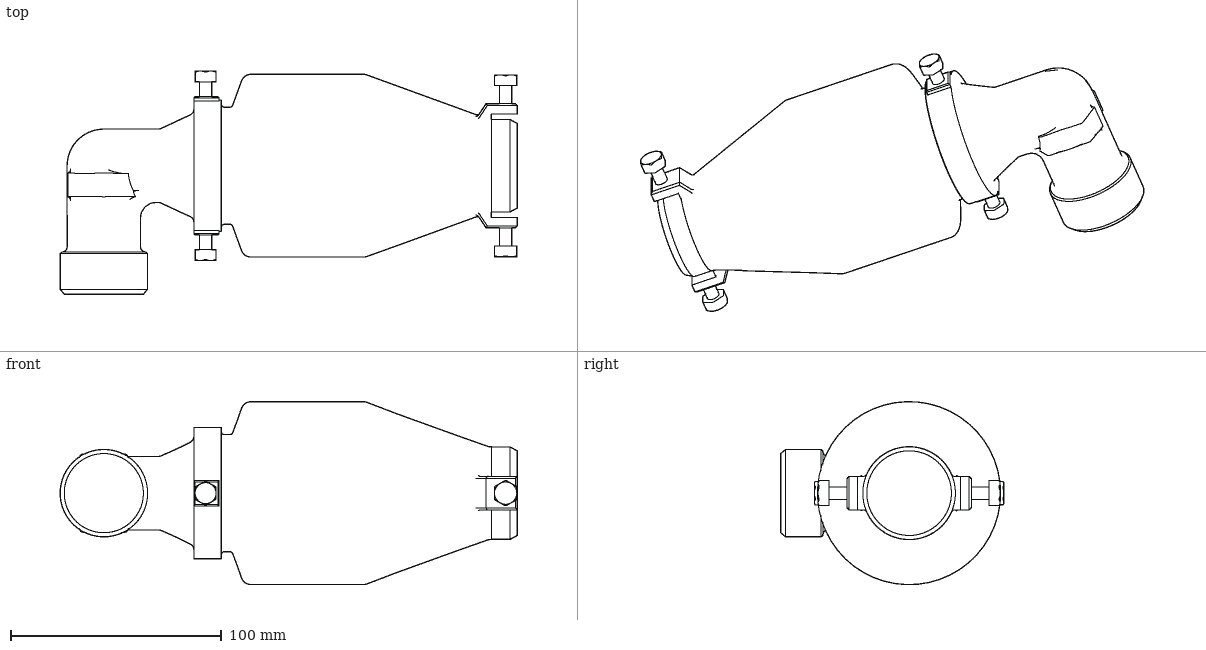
import cadquery as cq
import math


TUBE_R = 17.5
CAP_R = 20.8
INLET_END_Y = -61.0
CAP_LENGTH = 20.1
CAP_END_CHAMFER_R = 2.0
CAP_END_CHAMFER_L = 2.4
CAP_BACK_CHAMFER = 0.8
CAP_BACK_FILLET = 2.4
CROTCH_RADIUS = 7.0
CROTCH_HALF_HEIGHT = 13.0

PAD_FLATS = 37.2
PAD_NEAR_Y = -3.6
PAD_FAR_Y = -14.5
PAD_LOW_Z = 7.6
PAD_EDGE_ROUND = 1.6
PAD_FOOT_RADIUS = 2.0

REDUCER_START_X = 26.6
REDUCER_END_R = 25.0
RING_START_X = 42.7
RING_END_X = 55.9
RING_R = 31.25
RING_CHAMFER = 0.3
NECK_R = 27.9
SHOULDER_X = 60.8
BODY_R = 43.49
BODY_TAPER_X = 124.0
TAPER_ANGLE = math.radians(20)
BODY_ROUND = 5.0
REDUCER_START_ROUND = 3.4
REDUCER_END_ROUND = 3.0
NECK_ROUND = 1.2
NOZZLE_X = 184.0
NOZZLE_LIP_R = 22.1
NOZZLE_LIP_ROUND = 4.5
NOZZLE_R = 22.0
NOZZLE_CHAMFER_X = 192.8
NOZZLE_TIP_R = 20.1
END_X = 196.3

SHANK_D = 6.0
HEAD_HEIGHT = 5.2
HEAD_EDGE_ROUND = 1.2
HEAD_CHAMFER_HEIGHT = 0.5
RING_BOLT_X = 48.3
RING_BOLT_TOP = 45.0
RING_BOLT_FLATS = 10.0
NOZZLE_BOLT_X = 190.7
NOZZLE_BOLT_TOP = 43.2
NOZZLE_BOLT_FLATS = 10.6

LUG_TOP = 32.8
LUG_LENGTH = 12.0
LUG_CHAMFER = 0.6

BRACKET_TOP = 29.5
BRACKET_THICKNESS = 5.0
BRACKET_WIDTH = 16.0
BRACKET_BEND_X = 181.4
BRACKET_FOOT_X = 175.1
BRACKET_FOOT_R = 20.0
BRACKET_CHAMFER = 1.0
BRACKET_FOOT_FILLET = 1.3

HEX_SIDES = 6
HEX_HALF_SECTOR = math.pi / HEX_SIDES
HEX_FLATS_RATIO = math.cos(HEX_HALF_SECTOR)
JOINT_OVERLAP = 2.0
SELECTION_MARGIN = 0.1


def rounded_outline(corners):
    """Closed XY outline from (x, y, corner radius) points, with tangent arcs at the rounded corners."""
    count = len(corners)
    outline = None
    for i, (x, y, radius) in enumerate(corners):
        corner = cq.Vector(x, y)
        back = (cq.Vector(*corners[i - 1][:2]) - corner).normalized()
        ahead = (cq.Vector(*corners[(i + 1) % count][:2]) - corner).normalized()
        half_angle = back.getAngle(ahead) / 2
        setback = radius / math.tan(half_angle)
        arc_start = corner + back * setback
        if outline is None:
            outline = cq.Workplane("XY").moveTo(arc_start.x, arc_start.y)
        else:
            outline = outline.lineTo(arc_start.x, arc_start.y)
        if radius > 0:
            arc_end = corner + ahead * setback
            depth = radius / math.sin(half_angle) - radius
            middle = corner + (back + ahead).normalized() * depth
            outline = outline.threePointArc(middle.toTuple()[:2], arc_end.toTuple()[:2])
    return outline.close()


def make_housing():
    shoulder_edge_x = SHOULDER_X + (BODY_R - NECK_R) * math.tan(TAPER_ANGLE)
    taper_end_x = BODY_TAPER_X + (BODY_R - NOZZLE_LIP_R) / math.tan(TAPER_ANGLE)
    corners = [
        (0, 0, 0),
        (0, TUBE_R, 0),
        (REDUCER_START_X, TUBE_R, REDUCER_START_ROUND),
        (RING_START_X, REDUCER_END_R, REDUCER_END_ROUND),
        (RING_START_X, RING_R, 0),
        (RING_END_X - RING_CHAMFER, RING_R, 0),
        (RING_END_X, RING_R - RING_CHAMFER, 0),
        (RING_END_X, NECK_R, NECK_ROUND),
        (SHOULDER_X, NECK_R, NECK_ROUND),
        (shoulder_edge_x, BODY_R, BODY_ROUND),
        (BODY_TAPER_X, BODY_R, BODY_ROUND),
        (taper_end_x, NOZZLE_LIP_R, NOZZLE_LIP_ROUND),
        (NOZZLE_X, NOZZLE_LIP_R, 0),
        (NOZZLE_X, NOZZLE_R, 0),
        (NOZZLE_CHAMFER_X, NOZZLE_R, 0),
        (END_X, NOZZLE_TIP_R, 0),
        (END_X, 0, 0),
    ]
    return rounded_outline(corners).revolve(360, (0, 0, 0), (1, 0, 0))


def make_inlet():
    cap_back_y = INLET_END_Y + CAP_LENGTH
    corners = [
        (0, 0, 0),
        (TUBE_R, 0, 0),
        (TUBE_R, cap_back_y, CAP_BACK_FILLET),
        (CAP_R - CAP_BACK_CHAMFER, cap_back_y, 0),
        (CAP_R, cap_back_y - CAP_BACK_CHAMFER, 0),
        (CAP_R, INLET_END_Y + CAP_END_CHAMFER_L, 0),
        (CAP_R - CAP_END_CHAMFER_R, INLET_END_Y, 0),
        (0, INLET_END_Y, 0),
    ]
    return rounded_outline(corners).revolve(360, (0, 0, 0), (0, 1, 0))


def make_crotch():
    """Middle slab of the two crossing tubes with the inner corner between them filleted."""
    reach = REDUCER_START_X
    along_x = cq.Workplane("YZ").circle(TUBE_R).extrude(reach)
    along_y = cq.Workplane("XZ").circle(TUBE_R).extrude(reach)
    slab = cq.Workplane("XY").box(4 * reach, 4 * reach, 2 * CROTCH_HALF_HEIGHT)
    crossing = along_x.union(along_y).intersect(slab)
    inner_corner = cq.selectors.NearestToPointSelector((TUBE_R, -TUBE_R, 0))
    return crossing.edges(inner_corner).fillet(CROTCH_RADIUS)


def make_pads():
    """Top and bottom parts of a hexagon around the inlet tube, with concave feet at both ends."""
    length = PAD_NEAR_Y - PAD_FAR_Y
    corner_d = PAD_FLATS / HEX_FLATS_RATIO
    hexagon = (
        cq.Workplane("XZ", origin=(0, PAD_NEAR_Y, 0))
        .polygon(HEX_SIDES, corner_d)
        .extrude(length)
        .edges("|Y")
        .fillet(PAD_EDGE_ROUND)
    )
    foot = (
        cq.Workplane("XY")
        .lineTo(0, PAD_NEAR_Y + PAD_FOOT_RADIUS)
        .lineTo(TUBE_R, PAD_NEAR_Y + PAD_FOOT_RADIUS)
        .radiusArc((TUBE_R + PAD_FOOT_RADIUS, PAD_NEAR_Y), -PAD_FOOT_RADIUS)
        .lineTo(TUBE_R + PAD_FOOT_RADIUS, PAD_FAR_Y)
        .radiusArc((TUBE_R, PAD_FAR_Y - PAD_FOOT_RADIUS), -PAD_FOOT_RADIUS)
        .lineTo(0, PAD_FAR_Y - PAD_FOOT_RADIUS)
        .close()
        .revolve(360, (0, 0, 0), (0, 1, 0))
    )
    long_hexagon = (
        cq.Workplane("XZ", origin=(0, PAD_NEAR_Y + PAD_FOOT_RADIUS, 0))
        .polygon(HEX_SIDES, corner_d)
        .extrude(length + 2 * PAD_FOOT_RADIUS)
    )
    middle = cq.Workplane("XY").box(2 * corner_d, 2 * corner_d, 2 * PAD_LOW_Z)
    return hexagon.union(foot.intersect(long_hexagon)).cut(middle)


def make_bolt(x, seat_y, top_y, flats):
    """Hexagon bolt along +Y with two head flats facing X, its shank starting at seat_y."""
    head_base_y = top_y - HEAD_HEIGHT
    shank = cq.Workplane("XZ", origin=(x, seat_y, 0)).circle(SHANK_D / 2).extrude(seat_y - head_base_y)
    head = (
        cq.Workplane("XZ", origin=(x, head_base_y, 0))
        .transformed(rotate=(0, 0, math.degrees(HEX_HALF_SECTOR)))
        .polygon(HEX_SIDES, flats / HEX_FLATS_RATIO)
        .extrude(-HEAD_HEIGHT)
        .edges("|Y")
        .fillet(HEAD_EDGE_ROUND)
    )
    rounded_corner_r = (flats / 2 - HEAD_EDGE_ROUND) / HEX_FLATS_RATIO + HEAD_EDGE_ROUND
    corner_trim = (
        cq.Workplane("XZ", origin=(x, head_base_y, 0))
        .circle(rounded_corner_r)
        .extrude(-HEAD_HEIGHT)
        .faces(">Y")
        .chamfer(HEAD_CHAMFER_HEIGHT, rounded_corner_r - flats / 2)
    )
    return shank.union(head.intersect(corner_trim))


def make_ring_lug():
    base_y = RING_R - JOINT_OVERLAP
    return (
        cq.Workplane("XZ", origin=(RING_START_X + LUG_LENGTH / 2, base_y, 0))
        .rect(LUG_LENGTH, LUG_LENGTH)
        .extrude(base_y - LUG_TOP)
        .faces(">Y")
        .chamfer(LUG_CHAMFER)
    )


def make_bracket():
    bottom = BRACKET_TOP - BRACKET_THICKNESS
    plate = (
        cq.Workplane("XY", origin=(0, 0, -BRACKET_WIDTH / 2))
        .moveTo(END_X, bottom)
        .lineTo(END_X, BRACKET_TOP)
        .lineTo(BRACKET_BEND_X, BRACKET_TOP)
        .lineTo(BRACKET_FOOT_X, BRACKET_FOOT_R)
        .lineTo(NOZZLE_X, BRACKET_FOOT_R)
        .lineTo(NOZZLE_X, bottom)
        .close()
        .extrude(BRACKET_WIDTH)
    )
    leg_face = cq.selectors.NearestToPointSelector(
        ((BRACKET_BEND_X + BRACKET_FOOT_X) / 2, (BRACKET_TOP + BRACKET_FOOT_R) / 2, 0)
    )
    leg_sides = plate.faces(leg_face).edges("not |Z")
    plate_rim = plate.faces(">Y").edges("(not |Z) or >X")
    return plate_rim.add(leg_sides).chamfer(BRACKET_CHAMFER)


def both_sides(shape):
    """The shape together with its mirror image across the XZ plane."""
    return shape.union(shape.mirror("XZ"))


def fillet_bracket_feet(body):
    """Round the joints where the two brackets stand on the tapered housing."""
    half_width = BRACKET_WIDTH / 2 + SELECTION_MARGIN
    for side in (1, -1):
        joint = cq.selectors.BoxSelector(
            (BRACKET_FOOT_X, side * BRACKET_FOOT_R, -half_width),
            (NOZZLE_X - SELECTION_MARGIN, side * BRACKET_TOP, half_width),
            boundingbox=True,
        )
        along_housing = body.edges(joint).edges("not %LINE")
        body = along_housing.fillet(BRACKET_FOOT_FILLET)
    return body


ring_bolt = make_bolt(RING_BOLT_X, LUG_TOP - JOINT_OVERLAP, RING_BOLT_TOP, RING_BOLT_FLATS)
nozzle_bolt = make_bolt(NOZZLE_BOLT_X, BRACKET_TOP - JOINT_OVERLAP, NOZZLE_BOLT_TOP, NOZZLE_BOLT_FLATS)

result = (
    fillet_bracket_feet(make_housing().union(both_sides(make_bracket())))
    .union(make_inlet())
    .union(cq.Workplane("XY").sphere(TUBE_R))
    .union(make_crotch())
    .union(make_pads())
    .union(both_sides(make_ring_lug().union(ring_bolt)))
    .union(both_sides(nozzle_bolt))
)